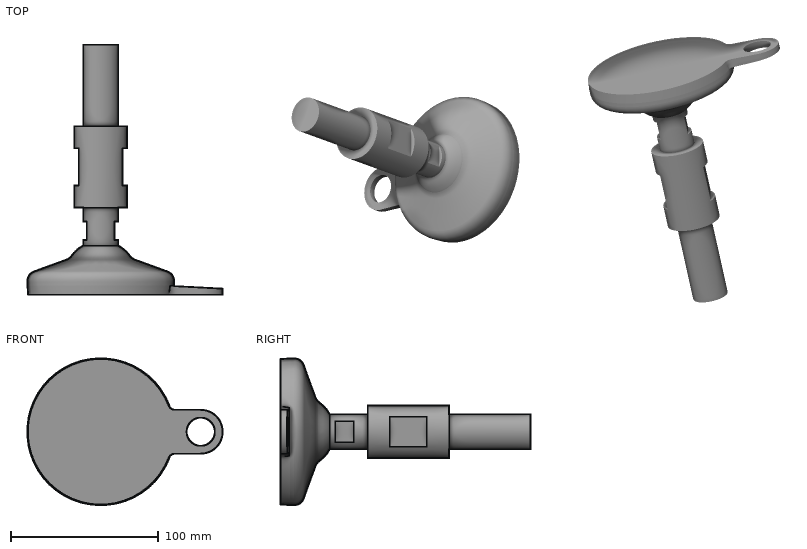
import cadquery as cq
import math

total_length = 170.0
y_base = -total_length / 2

rod_diameter = 24.0
rod_flat_width = 19.0
rod_flat_start = 37.4
rod_flat_length = 12.4

collar_diameter = 36.0
collar_start = 59.3
collar_length = 55.2
collar_flat_width = 30.0
collar_flat_length = 25.0

ball_radius = 24.6
neck_height = 33.5
seat_height = 25.7
rod_radius = rod_diameter / 2
ball_centre = neck_height - math.sqrt(ball_radius**2 - rod_radius**2)


def ball_section_radius(height):
    """Radius of the ball at a height above the pad underside."""
    return math.sqrt(ball_radius**2 - (height - ball_centre) ** 2)


pad_radius = 50.0
base_radius = 49.5
taper_height = 6.5
rim_height = 9.2
shoulder_radius = 7.1
cone_angle = math.radians(20)
cone_top_height = 23.8

lug_radius = 15.0
lug_centre = 68.0
lug_hole_diameter = 19.0
lug_tip_height = 4.2
lug_slope = math.radians(3)
lug_flare_radius = 5.0


def axial_cylinder(diameter, start, end):
    """Cylinder on the Y axis between two heights above the pad underside."""
    plane = cq.Workplane("XZ", origin=(0, y_base + start, 0))
    return plane.circle(diameter / 2).extrude(start - end)


def wrench_flats(body, width, diameter, start, length):
    """Cut a pair of flats facing -X and +X, leaving the given width between them."""
    depth = (diameter - width) / 2
    for side in (-1, 1):
        cutter = cq.Workplane("XY").box(2 * depth, length, diameter)
        x_centre = side * (width / 2 + depth)
        body = body.cut(cutter.translate((x_centre, y_base + start + length / 2, 0)))
    return body


def make_collar():
    collar_end = collar_start + collar_length
    collar = axial_cylinder(collar_diameter, collar_start, collar_end)
    flat_start = collar_start + (collar_length - collar_flat_length) / 2
    collar = wrench_flats(collar, collar_flat_width, collar_diameter, flat_start, collar_flat_length)
    return collar.cut(axial_cylinder(rod_diameter, collar_start, collar_end))


def make_rod():
    rod = axial_cylinder(rod_diameter, neck_height, total_length)
    return wrench_flats(rod, rod_flat_width, rod_diameter, rod_flat_start, rod_flat_length)


def make_lug():
    """Lug toward +X with flared sides, a rounded end and a top falling toward the tip."""
    flare_z = lug_radius + lug_flare_radius
    flare_distance = base_radius + lug_flare_radius
    flare_x = math.sqrt(flare_distance**2 - flare_z**2)
    root_x = flare_x * base_radius / flare_distance
    root_z = flare_z * base_radius / flare_distance
    middle_angle = (math.atan2(root_z - flare_z, root_x - flare_x) - math.pi / 2) / 2
    middle_x = flare_x + lug_flare_radius * math.cos(middle_angle)
    middle_z = flare_z + lug_flare_radius * math.sin(middle_angle)

    lug = (
        cq.Workplane("XZ", origin=(0, y_base, 0))
        .moveTo(root_x, root_z)
        .threePointArc((middle_x, middle_z), (flare_x, lug_radius))
        .lineTo(lug_centre, lug_radius)
        .threePointArc((lug_centre + lug_radius, 0), (lug_centre, -lug_radius))
        .lineTo(flare_x, -lug_radius)
        .threePointArc((middle_x, -middle_z), (root_x, -root_z))
        .lineTo(0, 0)
        .close()
        .extrude(-rim_height)
    )
    tip_x = lug_centre + lug_radius
    root_height = lug_tip_height + tip_x * math.tan(lug_slope)
    side_profile = [(0, 0), (tip_x, 0), (tip_x, lug_tip_height), (0, root_height)]
    envelope = cq.Workplane("XY").polyline(side_profile).close().extrude(base_radius, both=True)
    lug = lug.intersect(envelope.translate((0, y_base, 0)))
    hole = axial_cylinder(lug_hole_diameter, 0, rim_height).translate((lug_centre, 0, 0))
    return lug.cut(hole)


def make_dish():
    """Round pad with a domed shoulder, a conical top and the spherical neck, as one revolve."""
    shoulder_centre = pad_radius - shoulder_radius

    def shoulder_point(angle):
        return (
            shoulder_centre + shoulder_radius * math.cos(angle),
            rim_height + shoulder_radius * math.sin(angle),
        )

    shoulder_end_angle = math.pi / 2 - cone_angle
    cone_start = shoulder_point(shoulder_end_angle)
    cone_top_radius = cone_start[0] - (cone_top_height - cone_start[1]) / math.tan(cone_angle)
    middle_height = (seat_height + neck_height) / 2
    dish = (
        cq.Workplane("XY")
        .lineTo(base_radius, 0)
        .lineTo(pad_radius, taper_height)
        .lineTo(pad_radius, rim_height)
        .threePointArc(shoulder_point(shoulder_end_angle / 2), cone_start)
        .lineTo(cone_top_radius, cone_top_height)
        .tangentArcPoint((ball_section_radius(seat_height), seat_height), relative=False)
        .threePointArc((ball_section_radius(middle_height), middle_height), (rod_radius, neck_height))
        .lineTo(0, neck_height)
        .close()
        .revolve(360, (0, 0, 0), (0, 1, 0))
    )
    return dish.translate((0, y_base, 0))


def make_foot():
    return make_dish().union(make_lug()).union(make_rod())


foot = make_foot().solids()
collar = make_collar().solids()
result = cq.Compound.makeCompound([foot.val(), collar.val()])